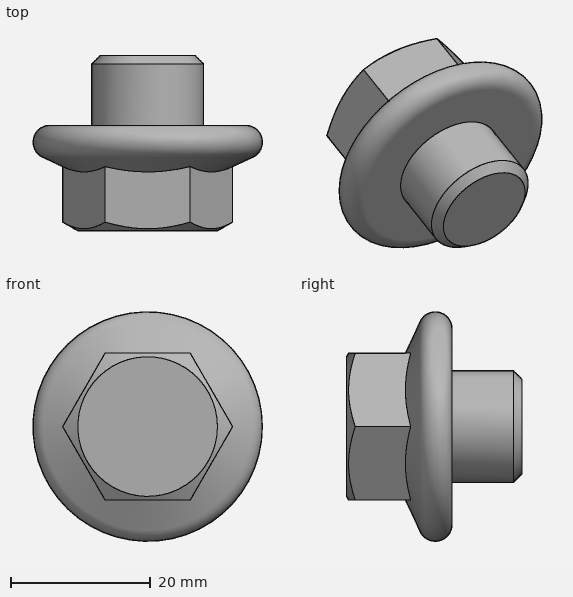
import cadquery as cq
import math

total_length = 25.1
flange_diameter = 32.8
rim_radius = 2.4
flange_cone_angle = math.radians(25)

shank_diameter = 16.0
shank_length = 10.0
shank_chamfer = 1.25

hex_across_flats = 21.02
hex_face_diameter = 19.95
hex_chamfer_angle = math.radians(30)

head_height = total_length - shank_length
hex_across_corners = hex_across_flats / math.cos(math.radians(30))


def revolve_about_y(profile):
    """Turn a closed profile of (radius, Y) points about the Y axis."""
    return profile.close().revolve(360, (0, 0, 0), (0, 1, 0))


def make_shank():
    """Cylinder with a chamfered free end, starting at the flange back (Y = 0)."""
    shank = cq.Workplane("XZ").circle(shank_diameter / 2).extrude(-shank_length)
    return shank.faces(">Y").chamfer(shank_chamfer)


def make_flange():
    """Disc with a flat back, a round rim and a cone tangent to the rim."""
    rim_center = flange_diameter / 2 - rim_radius
    cone_start_radius = rim_center + rim_radius * math.sin(flange_cone_angle)
    cone_start_y = -rim_radius - rim_radius * math.cos(flange_cone_angle)
    cone_end_radius = hex_across_flats / 2 - rim_radius
    cone_rise = (cone_start_radius - cone_end_radius) * math.tan(flange_cone_angle)
    cone_end_y = cone_start_y - cone_rise
    profile = (
        cq.Workplane("XY")
        .lineTo(rim_center, 0)
        .threePointArc(
            (flange_diameter / 2, -rim_radius),
            (cone_start_radius, cone_start_y),
        )
        .lineTo(cone_end_radius, cone_end_y)
        .lineTo(0, cone_end_y)
    )
    return revolve_about_y(profile)


def make_hex_head():
    """Hexagon with corners on the X axis, its free end chamfered by a cone."""
    prism = cq.Workplane("XZ").polygon(6, hex_across_corners).extrude(head_height)
    face_radius = hex_face_diameter / 2
    outer_radius = flange_diameter / 2
    chamfer_drop = (outer_radius - face_radius) * math.tan(hex_chamfer_angle)
    envelope = revolve_about_y(
        cq.Workplane("XY")
        .lineTo(outer_radius, 0)
        .lineTo(outer_radius, chamfer_drop - head_height)
        .lineTo(face_radius, -head_height)
        .lineTo(0, -head_height)
    )
    return prism.intersect(envelope)


result = make_flange().union(make_hex_head()).union(make_shank())